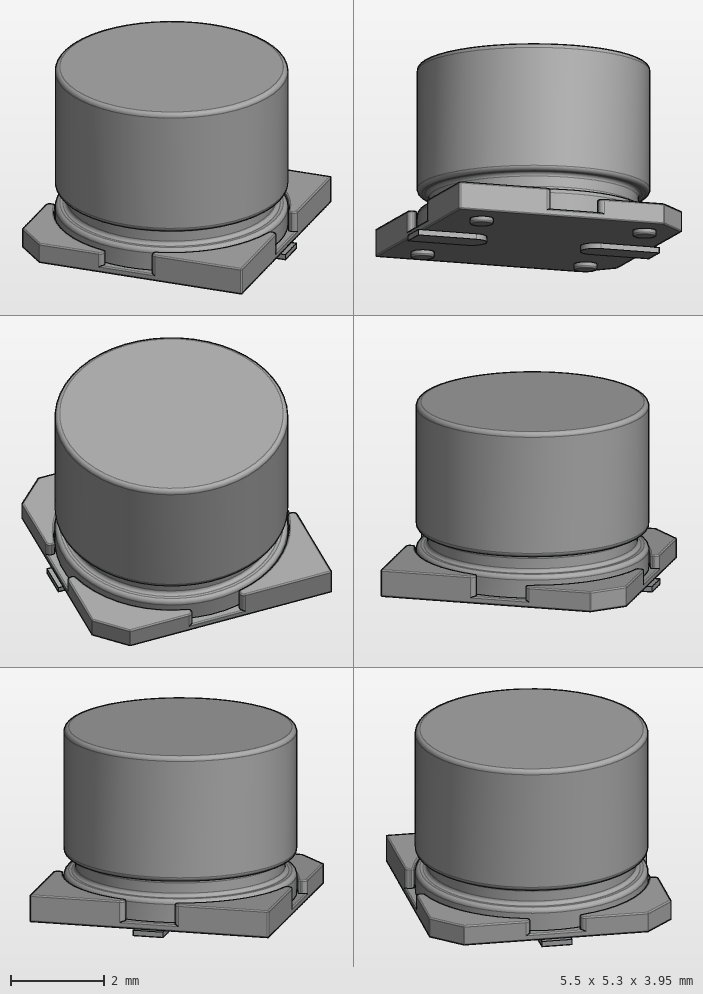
import cadquery as cq
import math

total_height = 3.95

can_radius = 5.0 / 2
groove_radius = 4.5 / 2
groove_bottom = 0.77
groove_top = 1.165
can_edge_round = 0.1
groove_round = 0.085

base_width = 5.3
base_bottom = 0.12
floor_top = 0.27
low_block_top = 0.57
tall_block_top = 0.72
corner_chamfer = 0.63
can_clearance = 0.03
bore_radius = can_radius + can_clearance
gap_width = 1.11
tip_outer_round = 0.1
tip_inner_round = 0.06
base_edge_round = 0.03

lead_span = 5.5
lead_width = 0.66
lead_inner_end = 1.09
foot_radius = 0.5 / 2
foot_offset = 1.86
foot_edge_round = 0.04

half_base = base_width / 2
half_gap = gap_width / 2
bore_at_gap = math.sqrt(bore_radius**2 - half_gap**2)
SIDES = (-1, 1)


def make_can():
    """Can revolved about Z, with every circular edge above its foot rounded."""
    profile = [
        (0, floor_top),
        (can_radius, floor_top),
        (can_radius, groove_bottom),
        (groove_radius, groove_bottom),
        (groove_radius, groove_top),
        (can_radius, groove_top),
        (can_radius, total_height),
        (0, total_height),
    ]
    can = cq.Workplane("XZ").polyline(profile).close().revolve()
    foot_edge = cq.selectors.DirectionMinMaxSelector(cq.Vector(0, 0, 1), False)
    outer_edges = cq.selectors.RadiusNthSelector(-1) - foot_edge
    can = can.edges(outer_edges).fillet(can_edge_round)
    inner_edges = cq.selectors.RadiusNthSelector(0)
    return can.faces(cq.selectors.TypeSelector("CYLINDER")).edges(inner_edges).fillet(groove_round)


def make_base_outline(bottom, top):
    """Square slab with its two -X corners cut off and its upright edges rounded."""
    slab = cq.Workplane("XY").box(base_width, base_width, top - bottom, centered=(True, True, False))
    slab = slab.edges("|Z and <X").chamfer(corner_chamfer).edges("|Z").fillet(base_edge_round)
    return slab.translate((0, 0, bottom))


def make_floor():
    """Floor plate with its upper and lower edges rounded."""
    return make_base_outline(base_bottom, floor_top).faces("<Z or >Z").edges().fillet(base_edge_round)


def round_block_tips(block, x_side, y_side, reach, radius):
    """Round the upright edge of both block tips that ends at the given reach from the can axis."""
    tolerance = 0.01
    for x, y in ((half_gap, reach), (reach, half_gap)):
        low = (x_side * x - tolerance, y_side * y - tolerance, 0)
        high = (x_side * x + tolerance, y_side * y + tolerance, total_height)
        block = block.edges("|Z").edges(cq.selectors.BoxSelector(low, high)).fillet(radius)
    return block


def make_corner_block(x_side, y_side):
    """Corner block with a concave wall facing the can and a rounded tip at each gap."""
    bottom = floor_top - base_edge_round
    top = tall_block_top if x_side > 0 else low_block_top
    length = half_base - half_gap
    center = half_gap + length / 2
    quadrant = (
        cq.Workplane("XY")
        .box(length, length, total_height, centered=(True, True, False))
        .translate((x_side * center, y_side * center, 0))
    )
    bore = cq.Workplane("XY").circle(bore_radius).extrude(total_height)
    block = make_base_outline(bottom, top).intersect(quadrant).cut(bore)

    block = round_block_tips(block, x_side, y_side, half_base, tip_outer_round)
    block = round_block_tips(block, x_side, y_side, bore_at_gap, tip_inner_round)
    return block.faces(">Z").edges().fillet(base_edge_round)


def make_lead(x_side):
    """Flat lead whose inner end is a full round."""
    end_radius = lead_width / 2
    round_center = lead_inner_end + end_radius
    outer_end = lead_span / 2
    return (
        cq.Workplane("XY")
        .moveTo(x_side * round_center, end_radius)
        .lineTo(x_side * outer_end, end_radius)
        .lineTo(x_side * outer_end, -end_radius)
        .lineTo(x_side * round_center, -end_radius)
        .threePointArc((x_side * lead_inner_end, 0), (x_side * round_center, end_radius))
        .close()
        .extrude(base_bottom)
    )


def make_foot(x_side, y_side):
    """Round standoff foot under one corner of the base."""
    foot = cq.Workplane("XY").circle(foot_radius).extrude(base_bottom)
    foot = foot.faces("<Z").edges().fillet(foot_edge_round)
    return foot.translate((x_side * foot_offset, y_side * foot_offset, 0))


result = make_floor().union(make_can())
for x_side in SIDES:
    result = result.union(make_lead(x_side))
    for y_side in SIDES:
        result = result.union(make_corner_block(x_side, y_side))
        result = result.union(make_foot(x_side, y_side))